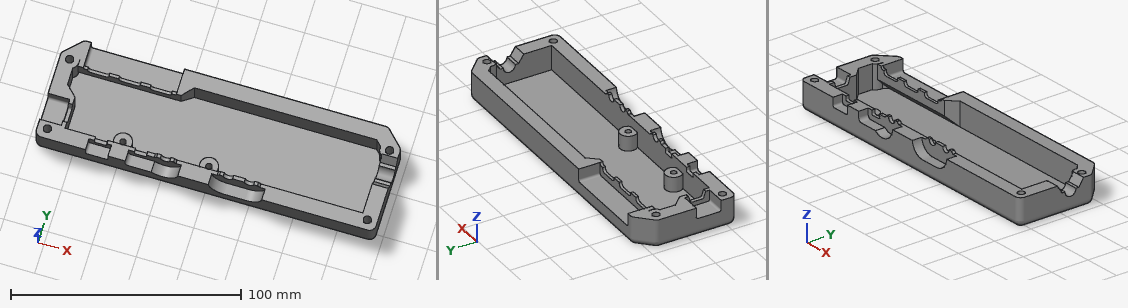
import cadquery as cq

length = 154.0
width = 48.0
rim_z = 14.5
tab_top_z = 15.5
corner_chamfer = 8.2
corner_radius = 3.0
bottom_radius = 3.1

screw_diameter = 3.5
screw_inset = 4.5
screw_back_y = 37.9
screw_boss_radius = 4.3

floor_z = 2.0
cavity_front = 7.0
cavity_back = 41.0
cavity_left = 7.0
cavity_right = 146.8
cavity_corner_cut = 4.0
left_port_wall = 11.7
left_step_low = 21.9
left_step_high = 26.6

shelf_wall_front = 35.9
shelf_wall_left = 8.8
shelf_wall_right = 55.6
shelf_wall_slant = 4.5
shelf_lip_back = 37.3
shelf_left = 11.2
shelf_right = 53.5
shelf_z = 8.0
shelf_radius = 1.1
lip_bump_z = 13.1
lip_dip_z = 11.0
lip_dip_pitch = 14.2
lip_dip_centre = 32.2
lip_dip_width = 9.7
lip_dip_radius = 1.7

standoff_positions = [(37.1, 9.9), (76.0, 9.9)]
standoff_diameter = 8.3
standoff_bore = 2.8
standoff_top_z = 9.5

front_recess_depth = 5.2
small_port_left = 23.1
small_port_right = 33.3
small_port_z = 9.7
small_port_radius = 1.1
combo_port_left = 41.1
combo_port_z = 9.5
combo_port_radius = 1.8
jack_z = 15.2
jack_radius = 7.4
jack_x = 57.6
twin_jack_x = (86.1, 95.6)
slot_z = 12.2
slot_radius = 0.6
small_slot = (25.5, 31.1)
combo_slot = (43.7, 49.1)
cable_radius = 2.2
tab_ramp = 1.1
tab_reach = 5.0

left_recess_depth = 9.9
left_recess_low = 7.7
left_recess_high = 20.2
left_recess_z = 9.0
left_recess_radius = 1.1
left_port_y = 14.0
left_port_top = 8.6
left_port_bottom = 6.3
left_port_radius = 1.0
left_port_z = 11.1

right_notch_y = 28.2
right_notch_top = 14.5
right_notch_bottom = 9.2
right_notch_z = 10.5
right_groove_diameter = 6.0


def box(x0, x1, y0, y1, z0, z1):
    """Block spanning the given limits."""
    return cq.Workplane("XY").box(x1 - x0, y1 - y0, z1 - z0, centered=False).translate((x0, y0, z0))


def prism_along_y(points, y0, y1):
    """Extrude an X-Z outline from y0 to y1."""
    return cq.Workplane("XZ", origin=(0, y0, 0)).polyline(points).close().extrude(y0 - y1)


def prism_along_x(points, x0, x1):
    """Extrude a Y-Z outline from x0 to x1."""
    return cq.Workplane("YZ", origin=(x0, 0, 0)).polyline(points).close().extrude(x1 - x0)


def rod_along_y(x, z, radius, y0, y1):
    """Round bar parallel to Y."""
    return cq.Workplane("XZ", origin=(0, y0, 0)).center(x, z).circle(radius).extrude(y0 - y1)


def make_body():
    """Solid block with cut back corners and rounded edges."""
    outline = [
        (0, 0),
        (length, 0),
        (length, width - corner_chamfer),
        (length - corner_chamfer, width),
        (corner_chamfer, width),
        (0, width - corner_chamfer),
    ]
    block = cq.Workplane("XY").polyline(outline).close().extrude(rim_z)
    return block.edges("|Z").fillet(corner_radius).faces("<Z").edges().fillet(bottom_radius)


def make_cavity():
    """Inner space of the tray, leaving walls around the screws and below the shelf."""
    height = rim_z - floor_z
    outline = [
        (left_port_wall, cavity_front),
        (cavity_right, cavity_front),
        (cavity_right, cavity_back - cavity_corner_cut),
        (cavity_right - cavity_corner_cut, cavity_back),
        (cavity_left + cavity_corner_cut, cavity_back),
        (cavity_left, cavity_back - cavity_corner_cut),
        (cavity_left, left_step_high),
        (left_port_wall, left_step_low),
    ]
    shelf_wall_outline = [
        (shelf_wall_left, shelf_wall_front),
        (shelf_wall_right, shelf_wall_front),
        (shelf_wall_right + shelf_wall_slant, cavity_back),
        (shelf_wall_left, cavity_back),
    ]
    floor = cq.Workplane("XY", origin=(0, 0, floor_z))
    screw_walls = (
        floor.pushPoints([(screw_inset, screw_back_y), (length - screw_inset, screw_back_y)])
        .circle(screw_boss_radius)
        .extrude(height)
    )
    cavity = floor.polyline(outline).close().extrude(height)
    undercut_depth = cavity_back - shelf_wall_front
    undercut = [
        (shelf_wall_front, floor_z),
        (cavity_back, floor_z),
        (shelf_wall_front, floor_z + undercut_depth),
    ]
    shelf_wall = floor.polyline(shelf_wall_outline).close().extrude(height)
    shelf_wall = shelf_wall.cut(prism_along_x(undercut, 0, length))
    return cavity.cut(shelf_wall).cut(screw_walls)


def make_shelf():
    """Space above the back connector shelf, with three dips in its lip."""
    space = box(shelf_left, shelf_right, shelf_lip_back, width, shelf_z, tab_top_z)
    space = space.edges("|Y and <Z").fillet(shelf_radius)
    lip_space = box(shelf_left, shelf_right, shelf_wall_front, shelf_lip_back, lip_bump_z, tab_top_z)
    space = space.union(lip_space.edges("|Y and <Z").fillet(shelf_radius))
    for step in (-1, 0, 1):
        centre = lip_dip_centre + step * lip_dip_pitch
        dip_left = centre - lip_dip_width / 2
        dip_right = centre + lip_dip_width / 2
        dip = box(dip_left, dip_right, shelf_wall_front, shelf_lip_back, lip_dip_z, tab_top_z)
        space = space.union(dip.edges("|Y and <Z").fillet(lip_dip_radius))
    return space


def make_standoffs():
    """Two bored standoffs that merge into the front wall."""
    floor = cq.Workplane("XY", origin=(0, 0, floor_z)).pushPoints(standoff_positions)
    height = standoff_top_z - floor_z
    posts = floor.circle(standoff_diameter / 2).extrude(height)
    return posts.cut(floor.circle(standoff_bore / 2).extrude(height))


def make_front_recesses():
    """Connector recesses on the outside of the front wall."""
    small = box(small_port_left, small_port_right, 0, front_recess_depth, small_port_z, rim_z)
    small = small.edges("|Y and <Z").fillet(small_port_radius)
    combo = box(combo_port_left, jack_x, 0, front_recess_depth, combo_port_z, rim_z)
    combo = combo.edges("|Y and <Z and <X").fillet(combo_port_radius)
    recesses = small.union(combo)
    for x in (jack_x, *twin_jack_x):
        recesses = recesses.union(rod_along_y(x, jack_z, jack_radius, 0, front_recess_depth))
    twin_left, twin_right = twin_jack_x
    return recesses.union(box(twin_left, twin_right, 0, front_recess_depth, jack_z - jack_radius, rim_z))


def make_lip_slots():
    """Rectangular openings through the front lip."""
    slots = cq.Workplane("XY")
    for left, right in (small_slot, combo_slot):
        slot = box(left, right, front_recess_depth, cavity_front, slot_z, rim_z)
        slots = slots.union(slot.edges("|Y and <Z").fillet(slot_radius))
    return slots


def make_tab(jack_positions):
    """Raised tab with sloped ends on the front lip, spanning the given jacks."""
    left = jack_positions[0] - tab_reach
    right = jack_positions[-1] + tab_reach
    outline = [
        (left, rim_z),
        (left + tab_ramp, tab_top_z),
        (right - tab_ramp, tab_top_z),
        (right, rim_z),
    ]
    return prism_along_y(outline, front_recess_depth, cavity_front)


def make_cable_notches():
    """Round cable notches through the raised tabs."""
    notches = cq.Workplane("XY")
    for x in (jack_x, *twin_jack_x):
        notches = notches.union(rod_along_y(x, tab_top_z, cable_radius, front_recess_depth, cavity_front))
    return notches


def make_left_port():
    """Recess and tapered opening in the left wall."""
    recess = box(0, left_recess_depth, left_recess_low, left_recess_high, left_recess_z, rim_z)
    recess = recess.edges("|X and <Z").fillet(left_recess_radius)
    half_top = left_port_top / 2
    half_bottom = left_port_bottom / 2
    outline = [
        (left_port_y - half_top, rim_z),
        (left_port_y - half_bottom, left_port_z),
        (left_port_y + half_bottom, left_port_z),
        (left_port_y + half_top, rim_z),
    ]
    opening = prism_along_x(outline, left_recess_depth, left_port_wall)
    return recess.union(opening.edges("|X and <Z").fillet(left_port_radius))


def make_right_notch():
    """Flared notch with a round cable groove through the right wall."""
    flare = [
        (right_notch_y - right_notch_top / 2, rim_z),
        (right_notch_y - right_notch_bottom / 2, right_notch_z),
        (right_notch_y + right_notch_bottom / 2, right_notch_z),
        (right_notch_y + right_notch_top / 2, rim_z),
    ]
    groove = (
        cq.Workplane("YZ", origin=(cavity_right, 0, 0))
        .center(right_notch_y, right_notch_z)
        .circle(right_groove_diameter / 2)
        .extrude(length - cavity_right)
    )
    return prism_along_x(flare, cavity_right, length).union(groove)


def make_screw_holes():
    """Four through holes in the corners."""
    positions = [
        (x, y) for x in (screw_inset, length - screw_inset) for y in (screw_inset, screw_back_y)
    ]
    return cq.Workplane("XY").pushPoints(positions).circle(screw_diameter / 2).extrude(rim_z)


result = (
    make_body()
    .cut(make_cavity())
    .union(make_standoffs())
    .cut(make_shelf())
    .cut(make_front_recesses())
    .cut(make_lip_slots())
    .union(make_tab([jack_x]))
    .union(make_tab(twin_jack_x))
    .cut(make_cable_notches())
    .cut(make_left_port())
    .cut(make_right_notch())
    .cut(make_screw_holes())
)